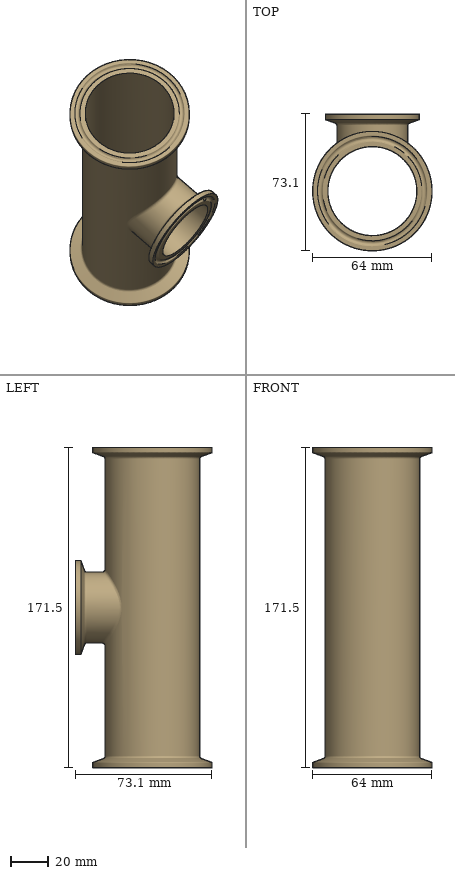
import cadquery as cq
import math

length = 171.5
wall = 1.63
run_diameter = 50.7
run_flange_diameter = 64.0
run_groove_diameter = 55.9
run_rim_edge_radius = 0.3

branch_reach = 41.1
branch_diameter = 38.0
branch_flange_diameter = 50.4
branch_groove_diameter = 43.5
junction_radius = 1.5

rim_thickness = 3.0
cone_angle = 20.0
cone_root_radius = 1.2
groove_width = 3.0
groove_depth = 1.0
groove_lip_radius = 0.3


def ferruled_pipe(tube_diameter, flange_diameter, pipe_length):
    """Solid pipe from z = 0 up to a clamp flange with a conical back at z = pipe_length."""
    tube_radius = tube_diameter / 2
    flange_radius = flange_diameter / 2
    rim_back = pipe_length - rim_thickness
    cone_drop = (flange_radius - tube_radius) * math.tan(math.radians(cone_angle))
    root_height = rim_back - cone_drop
    pipe = (
        cq.Workplane("XZ")
        .lineTo(tube_radius, 0)
        .lineTo(tube_radius, root_height)
        .lineTo(flange_radius, rim_back)
        .lineTo(flange_radius, pipe_length)
        .lineTo(0, pipe_length)
        .close()
        .revolve(360, (0, 0, 0), (0, 1, 0))
    )
    cone_root = cq.selectors.BoxSelector(
        (-tube_radius - cone_drop, -flange_radius, root_height - cone_drop / 2),
        (tube_radius + cone_drop, flange_radius, root_height + cone_drop / 2),
    )
    return pipe.edges(cone_root).fillet(cone_root_radius)


def gasket_groove(groove_diameter, face_height):
    """Ring of circular-arc section that cuts a gasket groove into a flange face."""
    middle = groove_diameter / 2
    half_width = groove_width / 2
    return (
        cq.Workplane("XZ")
        .moveTo(middle - half_width, face_height)
        .threePointArc((middle, face_height - groove_depth), (middle + half_width, face_height))
        .close()
        .revolve(360, (0, 0, 0), (0, 1, 0))
    )


def grooved_pipe(tube_diameter, flange_diameter, groove_diameter, pipe_length):
    """Ferruled pipe with a round-lipped gasket groove cut into its flange face."""
    pipe = ferruled_pipe(tube_diameter, flange_diameter, pipe_length)
    pipe = pipe.cut(gasket_groove(groove_diameter, pipe_length))
    lip_reach = groove_diameter / 2 + groove_width
    groove_lips = cq.selectors.BoxSelector(
        (-lip_reach, -lip_reach, pipe_length - groove_depth / 2),
        (lip_reach, lip_reach, pipe_length + groove_depth / 2),
        boundingbox=True,
    )
    return pipe.edges(groove_lips).fillet(groove_lip_radius)


def toward_branch(body):
    """Turn a body that points along +Z so that it points along +Y."""
    return body.rotate((0, 0, 0), (1, 0, 0), -90)


upper_half = grooved_pipe(run_diameter, run_flange_diameter, run_groove_diameter, length / 2)
rim_edges = cq.selectors.RadiusNthSelector(-1)
upper_half = upper_half.edges("%CIRCLE").edges(rim_edges).fillet(run_rim_edge_radius)
run = upper_half.union(upper_half.mirror("XY")).clean()

branch = toward_branch(
    grooved_pipe(branch_diameter, branch_flange_diameter, branch_groove_diameter, branch_reach)
)

junction_half = branch_diameter / 2 + junction_radius
junction_zone = cq.selectors.BoxSelector(
    (-junction_half, 0, -junction_half),
    (junction_half, run_flange_diameter / 2, junction_half),
    boundingbox=True,
)
body = run.union(branch).edges(junction_zone).fillet(junction_radius)

run_bore = cq.Workplane("XY").circle(run_diameter / 2 - wall).extrude(length / 2, both=True)
branch_bore = toward_branch(
    cq.Workplane("XY").circle(branch_diameter / 2 - wall).extrude(branch_reach)
)
result = body.cut(run_bore).cut(branch_bore)